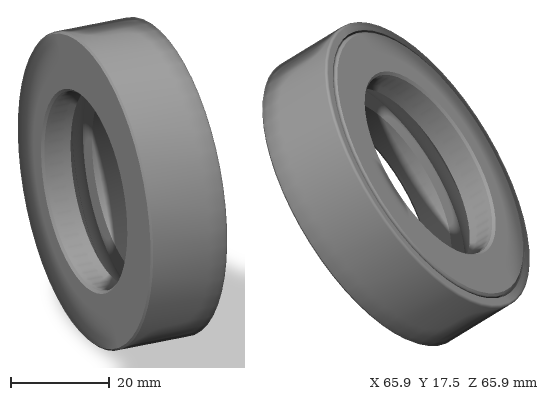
import cadquery as cq
import math


bore_diameter = 41.27
race_thickness = 6.35
race_gap = 4.76
front_race_diameter = 64.51
edge_chamfer = 0.51

band_diameter = 65.88
band_bore_diameter = 61.82
front_chamfer = 0.4
rear_rounding = 0.51
rear_clearance = 0.4

ball_diameter = 7.14
pitch_diameter = 55.5

rear_race_diameter = band_bore_diameter - 2 * rear_clearance
overall_width = 2 * race_thickness + race_gap
band_width = overall_width - rear_clearance
track_radius = ball_diameter / 2
track_half_width = math.sqrt(track_radius**2 - (race_gap / 2) ** 2)
track_depth = track_radius - race_gap / 2


def revolve_about_y(section):
    """Full turn of a closed section sketched in the YZ plane (first coordinate along Y)."""
    return section.close().revolve(360, (0, 0, 0), (1, 0, 0))


def make_race(outside_diameter, outer_chamfer):
    """Race with its outer face at Y = 0 and its ball track on the +Y face."""
    inner = bore_diameter / 2
    outer = outside_diameter / 2
    pitch = pitch_diameter / 2
    section = cq.Workplane("YZ").moveTo(0, inner + edge_chamfer)
    if outer_chamfer > 0:
        section = section.lineTo(0, outer - outer_chamfer).lineTo(outer_chamfer, outer)
    else:
        section = section.lineTo(0, outer)
    section = (
        section.lineTo(race_thickness, outer)
        .lineTo(race_thickness, pitch + track_half_width)
        .threePointArc(
            (race_thickness - track_depth, pitch),
            (race_thickness, pitch - track_half_width),
        )
        .lineTo(race_thickness, inner)
        .lineTo(edge_chamfer, inner)
    )
    return revolve_about_y(section)


def make_band():
    """Sleeve with a chamfered front edge, a rounded rear edge and a seat for the front race."""
    seat = front_race_diameter / 2
    inner = band_bore_diameter / 2
    outer = band_diameter / 2
    section = (
        cq.Workplane("YZ")
        .moveTo(0, seat)
        .lineTo(0, outer - front_chamfer)
        .lineTo(front_chamfer, outer)
        .lineTo(band_width - rear_rounding, outer)
        .radiusArc((band_width, outer - rear_rounding), rear_rounding)
        .lineTo(band_width, inner)
        .lineTo(race_thickness, inner)
        .lineTo(race_thickness, seat)
    )
    return revolve_about_y(section)


front_race = make_race(front_race_diameter, 0)

rear_race = make_race(rear_race_diameter, edge_chamfer).mirror("XZ").translate((0, overall_width, 0))

band = make_band()

result = cq.Compound.makeCompound([front_race.val(), rear_race.val(), band.val()])